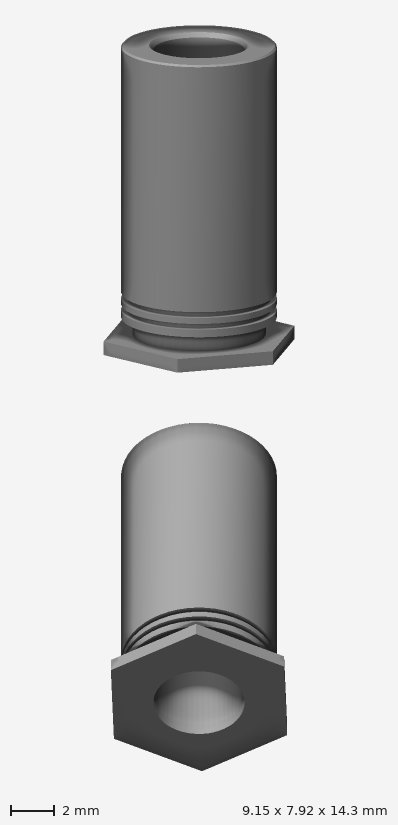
import cadquery as cq
import math

total_height = 14.29
hex_across_flats = 7.92
hex_thickness = 0.65

barrel_diameter = 7.12
neck_diameter = 6.1
groove_diameter = 6.6
neck_top = 1.43
groove_bottoms = (1.79, 2.35)
groove_width = 0.27
cutter_clearance = 0.15
barrel_chamfer = 0.09

bore_diameter = 4.17
bore_chamfer = 0.2


def make_hex_flange():
    """Hexagonal flange with two corners on the X axis."""
    across_corners = hex_across_flats / math.cos(math.pi / 6)
    return cq.Workplane("XY").polygon(6, across_corners).extrude(hex_thickness)


def make_cylinder(diameter, bottom, top):
    """Round section on the Z axis between two heights."""
    return cq.Workplane("XY").workplane(offset=bottom).circle(diameter / 2).extrude(top - bottom)


def make_groove(bottom):
    """Ring of material removed from the outside of the barrel."""
    return (
        cq.Workplane("XY")
        .workplane(offset=bottom)
        .circle(barrel_diameter / 2 + cutter_clearance)
        .circle(groove_diameter / 2)
        .extrude(groove_width)
    )


barrel = make_cylinder(barrel_diameter, neck_top, total_height)
barrel = barrel.faces(">Z").edges().chamfer(barrel_chamfer)
for groove_bottom in groove_bottoms:
    barrel = barrel.cut(make_groove(groove_bottom))

neck = make_cylinder(neck_diameter, hex_thickness, neck_top)
body = make_hex_flange().union(neck).union(barrel)

body = body.cut(make_cylinder(bore_diameter, 0, total_height))
result = body.faces(">Z").edges(cq.selectors.RadiusNthSelector(0)).chamfer(bore_chamfer)